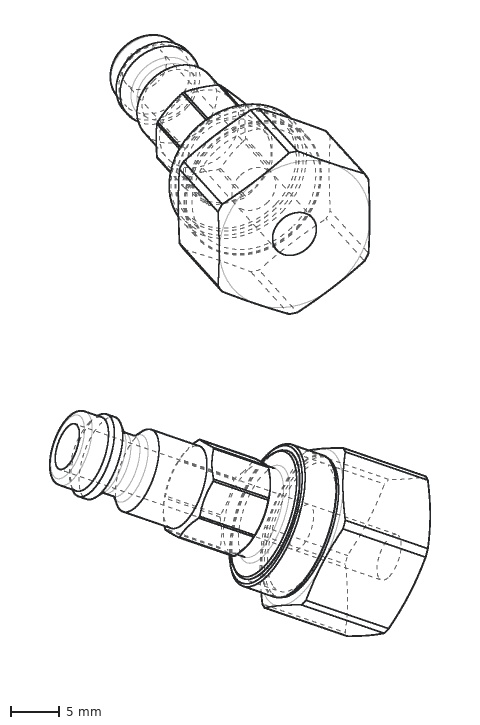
import cadquery as cq
import math

total_length = 38.5
bore_d = 4.95

tip_d = 8.1
tip_fillet = 0.58
tip_end = 2.58
shank_d = 9.0
ridge_start = 3.0
ridge_end = 4.0
groove_d = 6.65
groove_floor_width = 1.08
groove_fillet = 1.1
groove_wall_angle = math.radians(45)

octagon_start = 14.1
octagon_end = 21.5
octagon_flats = 10.0
octagon_corner_d = 10.75
octagon_chamfer_angle = math.radians(30)
neck_d = 9.7
neck_fillet = 0.45
flange_start = 23.5
flange_d = 14.0
flange_chamfer_length = 0.25
flange_chamfer_depth = 0.2

collar_start = 23.75
collar_d = 15.5
collar_chamfer_length = 0.2
collar_chamfer_depth = 0.27
recess_d = flange_d
relief_start = 27.72
relief_d = 15.3
hex_start = 28.03
hex_flats = 17.0
hex_corner_d = 19.15
hex_chamfer_angle = math.radians(15)
flange_end = hex_start


def cylinder(diameter, start, end):
    return cq.Workplane("YZ", origin=(start, 0, 0)).circle(diameter / 2).extrude(end - start)


def turn(profile):
    """Revolve a half profile, drawn as axial position and radius, about X."""
    return profile.close().revolve(360, (0, 0, 0), (1, 0, 0))


def turned_prism(sides, flats, corner_d, start, end, start_d, end_d, chamfer_angle):
    """Prism with corners turned to a cylinder and conical ends that widen from the end diameters."""
    across_corners = flats / math.cos(math.pi / sides)
    prism = cq.Workplane("YZ", origin=(start, 0, 0)).polygon(sides, across_corners).extrude(end - start)
    prism = prism.rotate((0, 0, 0), (1, 0, 0), 180 / sides)
    slope = math.tan(chamfer_angle)
    start_chamfer = (corner_d - start_d) / 2 * slope
    end_chamfer = (corner_d - end_d) / 2 * slope
    envelope = turn(
        cq.Workplane("XY")
        .moveTo(start, 0)
        .lineTo(start, start_d / 2)
        .lineTo(start + start_chamfer, corner_d / 2)
        .lineTo(end - end_chamfer, corner_d / 2)
        .lineTo(end, end_d / 2)
        .lineTo(end, 0)
    )
    return prism.intersect(envelope)


def plug_turning():
    """Turned outline of the plug from its tip to the back of the flange."""
    fillet_length = groove_fillet * math.sin(groove_wall_angle)
    fillet_rise = groove_fillet * (1 - math.cos(groove_wall_angle))
    wall_rise = (shank_d - groove_d) / 2 - fillet_rise
    wall_length = wall_rise / math.tan(groove_wall_angle)
    fillet_start_r = groove_d / 2 + fillet_rise
    floor_start = ridge_end + wall_length + fillet_length
    floor_end = floor_start + groove_floor_width
    far_fillet_end = floor_end + fillet_length
    return turn(
        cq.Workplane("XY")
        .moveTo(0, 0)
        .lineTo(0, tip_d / 2 - tip_fillet)
        .radiusArc((tip_fillet, tip_d / 2), tip_fillet)
        .lineTo(tip_end, tip_d / 2)
        .lineTo(ridge_start, shank_d / 2)
        .lineTo(ridge_end, shank_d / 2)
        .lineTo(ridge_end + wall_length, fillet_start_r)
        .radiusArc((floor_start, groove_d / 2), -groove_fillet)
        .lineTo(floor_end, groove_d / 2)
        .radiusArc((far_fillet_end, fillet_start_r), -groove_fillet)
        .lineTo(far_fillet_end + wall_length, shank_d / 2)
        .lineTo(octagon_start, shank_d / 2)
        .lineTo(octagon_end, shank_d / 2)
        .lineTo(octagon_end, neck_d / 2)
        .lineTo(flange_start - neck_fillet, neck_d / 2)
        .radiusArc((flange_start, neck_d / 2 + neck_fillet), -neck_fillet)
        .lineTo(flange_start, flange_d / 2 - flange_chamfer_depth)
        .lineTo(flange_start + flange_chamfer_length, flange_d / 2)
        .lineTo(flange_end, flange_d / 2)
        .lineTo(flange_end, 0)
    )


def make_plug():
    octagon = turned_prism(
        8, octagon_flats, octagon_corner_d, octagon_start, octagon_end,
        shank_d, neck_d, octagon_chamfer_angle,
    )
    return plug_turning().union(octagon).cut(cylinder(bore_d, 0, flange_end))


def make_nut():
    collar = turn(
        cq.Workplane("XY")
        .moveTo(collar_start, 0)
        .lineTo(collar_start, collar_d / 2 - collar_chamfer_depth)
        .lineTo(collar_start + collar_chamfer_length, collar_d / 2)
        .lineTo(relief_start, collar_d / 2)
        .lineTo(relief_start, relief_d / 2)
        .lineTo(hex_start, relief_d / 2)
        .lineTo(hex_start, 0)
    )
    hexagon = turned_prism(
        6, hex_flats, hex_corner_d, hex_start, total_length,
        hex_flats, hex_flats, hex_chamfer_angle,
    )
    nut = collar.union(hexagon)
    nut = nut.cut(cylinder(recess_d, collar_start, flange_end))
    return nut.cut(cylinder(bore_d, flange_end, total_length))


plug = make_plug()
nut = make_nut()
result = cq.Compound.makeCompound([plug.solids().val(), nut.solids().val()])